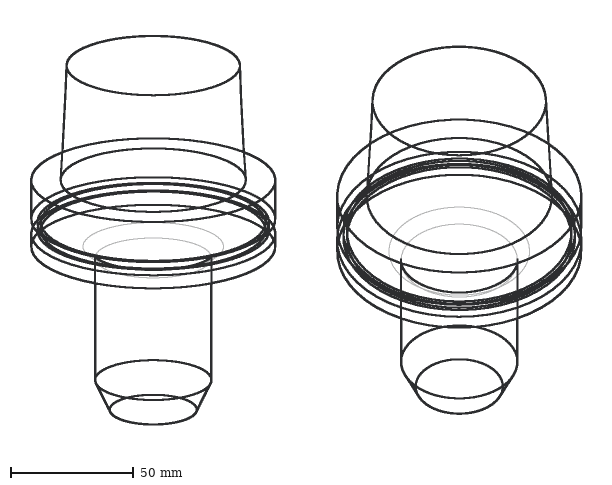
import cadquery as cq

total_height = 150.0
taper_height = 50.0
flange_height = 29.0
tip_height = 12.9
flange_top = total_height - taper_height
flange_bottom = flange_top - flange_height

flange_radius = 100.0 / 2
groove_radius = 92.0 / 2
taper_base_radius = 38.0
taper_top_radius = 35.5
stem_radius = 23.8
tip_radius = 17.8
root_fillet_radius = 5.0

lower_rim_height = 5.7
groove_mouth_height = 6.3
bevel_height = 1.5
bevel_depth = 2.5
groove_mouth_bottom = flange_bottom + lower_rim_height
groove_mouth_top = groove_mouth_bottom + groove_mouth_height
bevel_radius = flange_radius - bevel_depth


def make_stem():
    """Cylindrical shank with a conical tip and a concave fillet under the flange."""
    fillet_start = flange_bottom - root_fillet_radius
    fillet_center_radius = stem_radius + root_fillet_radius
    return (
        cq.Workplane("XZ")
        .lineTo(tip_radius, 0)
        .lineTo(stem_radius, tip_height)
        .lineTo(stem_radius, fillet_start)
        .radiusArc((fillet_center_radius, flange_bottom), root_fillet_radius)
        .lineTo(0, flange_bottom)
        .close()
        .revolve(360, (0, 0), (0, 1))
    )


def make_flange():
    """Round flange with a bevelled groove around its rim."""
    return (
        cq.Workplane("XZ")
        .moveTo(0, flange_bottom)
        .lineTo(flange_radius, flange_bottom)
        .lineTo(flange_radius, groove_mouth_bottom)
        .lineTo(bevel_radius, groove_mouth_bottom + bevel_height)
        .lineTo(groove_radius, groove_mouth_bottom + bevel_height)
        .lineTo(groove_radius, groove_mouth_top - bevel_height)
        .lineTo(bevel_radius, groove_mouth_top - bevel_height)
        .lineTo(flange_radius, groove_mouth_top)
        .lineTo(flange_radius, flange_top)
        .lineTo(0, flange_top)
        .close()
        .revolve(360, (0, 0), (0, 1))
    )


def make_taper():
    """Solid cone frustum on top of the flange."""
    return (
        cq.Workplane("XZ")
        .moveTo(0, flange_top)
        .lineTo(taper_base_radius, flange_top)
        .lineTo(taper_top_radius, total_height)
        .lineTo(0, total_height)
        .close()
        .revolve(360, (0, 0), (0, 1))
    )


result = make_stem().union(make_flange()).union(make_taper())